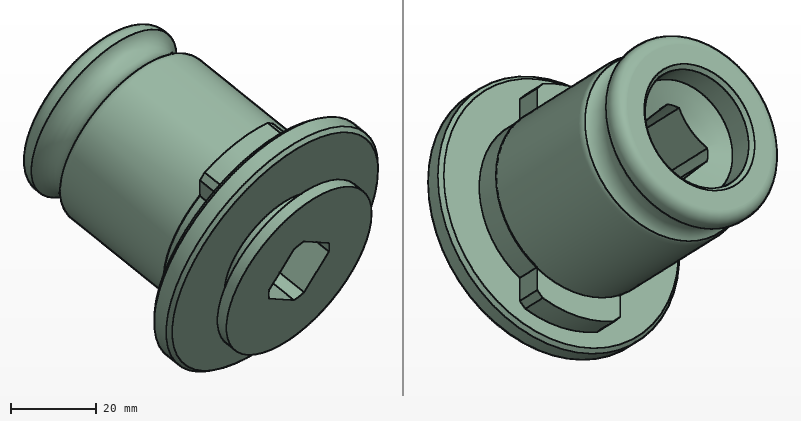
import cadquery as cq
import math

total_length = 69.5
end_disc_thickness = 3.0
neck_length = 5.0
flange_thickness = 6.0
collar_length = 7.0

end_disc_start = total_length - end_disc_thickness
neck_start = end_disc_start - neck_length
flange_start = neck_start - flange_thickness
collar_start = flange_start - collar_length

body_diameter = 48.0
collar_diameter = 47.5
flange_diameter = 70.0
neck_diameter = 33.5
flange_chamfer = 1.0

nose_fillet = 3.0
shoulder_fillet = 3.0
shoulder_end = 15.0
groove_edge_x = 4.3
groove_bottom_x = 9.0
groove_depth = 3.0
shoulder_edge_x = 13.35

lug_width = 24.0
lug_tip_diameter = 60.0
lug_corner_half_width = 10.4

bore_diameter = 30.0
bore_depth = 7.5
bore_chamfer = 1.0
cone_included_angle = 118.0
drive_square_side = 16.3
drive_corner_diameter = 20.0


def disc(start, length, diameter):
    """Cylinder on the X axis."""
    return cq.Workplane("YZ").workplane(offset=start).circle(diameter / 2).extrude(length)


def arc_height(x, center_x, center_r, radius):
    """Distance from the X axis to the upper side of a circle in the profile plane."""
    return center_r + math.sqrt(radius**2 - (x - center_x) ** 2)


def make_body():
    """Body revolved from a profile with a rounded nose, a groove and a rounded shoulder."""
    radius = body_diameter / 2
    nose_mid = nose_fillet * (1 - math.sqrt(0.5))
    shoulder_center_r = radius - shoulder_fillet
    shoulder_mid_x = (shoulder_edge_x + shoulder_end) / 2
    shoulder_edge_r = arc_height(shoulder_edge_x, shoulder_end, shoulder_center_r, shoulder_fillet)
    shoulder_mid_r = arc_height(shoulder_mid_x, shoulder_end, shoulder_center_r, shoulder_fillet)
    profile = (
        cq.Workplane("XY")
        .lineTo(0, radius - nose_fillet)
        .threePointArc((nose_mid, radius - nose_mid), (nose_fillet, radius))
        .lineTo(groove_edge_x, radius)
        .threePointArc((groove_bottom_x, radius - groove_depth), (shoulder_edge_x, shoulder_edge_r))
        .threePointArc((shoulder_mid_x, shoulder_mid_r), (shoulder_end, radius))
        .lineTo(collar_start, radius)
        .lineTo(collar_start, 0)
        .close()
    )
    return profile.revolve(360, (0, 0, 0), (1, 0, 0))


def make_flange():
    """Large flange with both rims chamfered."""
    return disc(flange_start, flange_thickness, flange_diameter).edges().chamfer(flange_chamfer)


def make_lugs():
    """Two opposite lugs along Z, with concentric tips and bevelled corners."""
    half_width = lug_width / 2
    tip_radius = lug_tip_diameter / 2
    bevel_top_z = math.sqrt(tip_radius**2 - lug_corner_half_width**2)
    bevel_side_z = bevel_top_z - (half_width - lug_corner_half_width)
    return (
        cq.Workplane("YZ")
        .workplane(offset=collar_start)
        .moveTo(-half_width, -bevel_side_z)
        .lineTo(-half_width, bevel_side_z)
        .lineTo(-lug_corner_half_width, bevel_top_z)
        .threePointArc((0, tip_radius), (lug_corner_half_width, bevel_top_z))
        .lineTo(half_width, bevel_side_z)
        .lineTo(half_width, -bevel_side_z)
        .lineTo(lug_corner_half_width, -bevel_top_z)
        .threePointArc((0, -tip_radius), (-lug_corner_half_width, -bevel_top_z))
        .close()
        .extrude(collar_length)
    )


def make_recess():
    """Chamfered round recess that ends in a cone."""
    radius = bore_diameter / 2
    cone_tip_x = bore_depth + radius / math.tan(math.radians(cone_included_angle / 2))
    profile = (
        cq.Workplane("XY")
        .lineTo(0, radius + bore_chamfer)
        .lineTo(bore_chamfer, radius)
        .lineTo(bore_depth, radius)
        .lineTo(cone_tip_x, 0)
        .close()
    )
    return profile.revolve(360, (0, 0, 0), (1, 0, 0))


def make_drive_hole():
    """Through square standing on its corner, with the corners rounded to a circle."""
    square = cq.Workplane("YZ").rect(drive_square_side, drive_square_side).extrude(total_length)
    square = square.rotate((0, 0, 0), (1, 0, 0), 45)
    return square.intersect(disc(0, total_length, drive_corner_diameter))


result = (
    make_body()
    .union(disc(collar_start, collar_length, collar_diameter))
    .union(make_lugs())
    .union(make_flange())
    .union(disc(neck_start, neck_length, neck_diameter))
    .union(disc(end_disc_start, end_disc_thickness, body_diameter))
    .cut(make_recess())
    .cut(make_drive_hole())
)